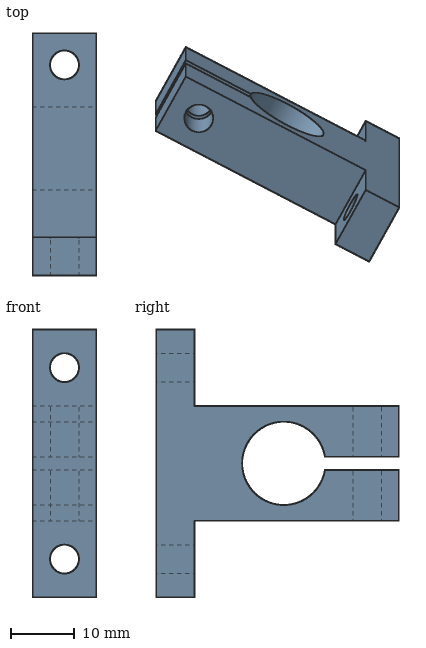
import cadquery as cq

width = 10.0
depth = 38.0
flange_height = 42.0
flange_thickness = 6.0
clamp_height = 18.0
bore_diameter = 13.0
bore_from_flange_face = 20.0
slit_height = 2.0
screw_hole_diameter = 4.5
mount_hole_spacing = 30.0
clamp_hole_from_tip = 5.0

centred_on_x_and_z = (True, False, True)


def make_body():
    """T-shaped body: upright flange with the clamp block behind it."""
    flange = cq.Workplane("XY").box(
        width, flange_thickness, flange_height, centered=centred_on_x_and_z
    )
    clamp = cq.Workplane("XY").box(width, depth, clamp_height, centered=centred_on_x_and_z)
    return flange.union(clamp)


def make_shaft_bore():
    """Cylinder along X for the clamped shaft."""
    return (
        cq.Workplane("YZ")
        .center(bore_from_flange_face, 0)
        .circle(bore_diameter / 2)
        .extrude(width / 2, both=True)
    )


def make_slit():
    """Gap between the jaws, from the bore centre to the tips."""
    slit_length = depth - bore_from_flange_face
    return (
        cq.Workplane("XY")
        .box(width, slit_length, slit_height, centered=centred_on_x_and_z)
        .translate((0, bore_from_flange_face, 0))
    )


def make_mount_holes():
    """Two holes along Y through the flange, above and below the clamp."""
    half_spacing = mount_hole_spacing / 2
    return (
        cq.Workplane("XZ")
        .pushPoints([(0, -half_spacing), (0, half_spacing)])
        .circle(screw_hole_diameter / 2)
        .extrude(-flange_thickness)
    )


def make_clamp_hole():
    """Hole along Z through both jaws for the clamping screw."""
    return (
        cq.Workplane("XY")
        .center(0, depth - clamp_hole_from_tip)
        .circle(screw_hole_diameter / 2)
        .extrude(clamp_height / 2, both=True)
    )


result = (
    make_body()
    .cut(make_shaft_bore())
    .cut(make_slit())
    .cut(make_mount_holes())
    .cut(make_clamp_hole())
)